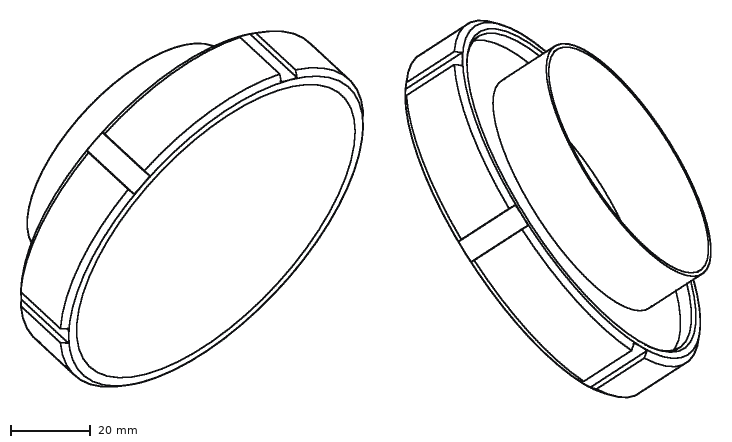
import cadquery as cq

TUBE_END_X = 0.0
NUT_FRONT_X = 14.9
NUT_BACK_X = 33.0

NUT_RADIUS = 50.6
NUT_CHAMFER = 1.5
NUT_BORE_RADIUS = 46.5
BORE_CHAMFER = 0.8
SLOT_COUNT = 6
SLOT_WIDTH = 6.1
SLOT_FLOOR_RADIUS = NUT_RADIUS - NUT_CHAMFER

TUBE_OUTER_RADIUS = 34.0
TUBE_WALL = 1.0
TUBE_BORE_RADIUS = TUBE_OUTER_RADIUS - TUBE_WALL
CONE_INNER_X = 16.8
CONE_OUTER_X = 19.1
FLANGE_BACK_X = 21.1


def revolve_about_x(points):
    """Revolve a closed (x, radius) outline about the X axis."""
    return cq.Workplane("XY").polyline(points).close().revolve(360, (0, 0, 0), (1, 0, 0))


def make_slot_cutter(angle):
    """Box that cuts one slot along the nut, at an angle about X measured from +Y."""
    radial_depth = 2 * (NUT_RADIUS - SLOT_FLOOR_RADIUS)
    cutter = cq.Workplane("XY").box(
        NUT_BACK_X - NUT_FRONT_X, radial_depth, SLOT_WIDTH, centered=(False, False, True)
    )
    cutter = cutter.translate((NUT_FRONT_X, SLOT_FLOOR_RADIUS, 0))
    return cutter.rotate((0, 0, 0), (1, 0, 0), angle)


def make_nut():
    """Ring chamfered on both outer edges and the front bore edge, with six slots."""
    face_radius = NUT_RADIUS - NUT_CHAMFER
    nut = revolve_about_x([
        (NUT_FRONT_X, NUT_BORE_RADIUS + BORE_CHAMFER),
        (NUT_FRONT_X, face_radius),
        (NUT_FRONT_X + NUT_CHAMFER, NUT_RADIUS),
        (NUT_BACK_X - NUT_CHAMFER, NUT_RADIUS),
        (NUT_BACK_X, face_radius),
        (NUT_BACK_X, NUT_BORE_RADIUS),
        (NUT_FRONT_X + BORE_CHAMFER, NUT_BORE_RADIUS),
    ])
    for index in range(SLOT_COUNT):
        nut = nut.cut(make_slot_cutter(index * 360 / SLOT_COUNT))
    return nut


def make_liner():
    """Thin tube carrying a conical flange that fills the nut bore."""
    return revolve_about_x([
        (TUBE_END_X, TUBE_BORE_RADIUS),
        (TUBE_END_X, TUBE_OUTER_RADIUS),
        (CONE_INNER_X, TUBE_OUTER_RADIUS),
        (CONE_OUTER_X, NUT_BORE_RADIUS),
        (FLANGE_BACK_X, NUT_BORE_RADIUS),
        (FLANGE_BACK_X, TUBE_BORE_RADIUS),
    ])


def make_blanking_disc():
    """Disc behind the liner that closes the tube, flush with the back of the nut."""
    disc = cq.Workplane("YZ").circle(NUT_BORE_RADIUS).extrude(NUT_BACK_X - FLANGE_BACK_X)
    return disc.translate((FLANGE_BACK_X, 0, 0))


nut = make_nut()
liner = make_liner()
blanking_disc = make_blanking_disc()

result = cq.Compound.makeCompound([nut.val(), liner.val(), blanking_disc.val()])